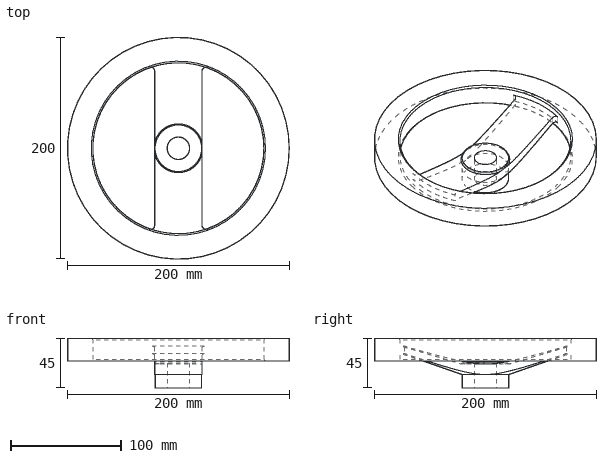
import cadquery as cq
import math

total_height = 45.0

rim_radius = 100.0
rim_height = 20.5
rim_bore_radius = 77.0
rim_chamfer = 1.5
rim_bottom = total_height - rim_height

hub_radius = 21.0
hub_top = 24.0
hub_base_fillet = 1.0
bore_radius = 10.0

spoke_width = 43.0
spoke_corner_radius = 3.0
web_bottom_at_hub = 12.2
web_bottom_angle = math.radians(19.0)
web_top_at_hub = 21.6
web_top_angle = math.radians(16.4)


def web_bottom(radius):
    """Height of the web's lower conical face."""
    return web_bottom_at_hub + (radius - hub_radius) * math.tan(web_bottom_angle)


def web_top(radius):
    """Height of the web's upper conical face."""
    return web_top_at_hub + (radius - hub_radius) * math.tan(web_top_angle)


def make_rim():
    """Flat ring, chamfered around both ends of its bore."""
    disc = cq.Workplane("XY", origin=(0, 0, rim_bottom)).circle(rim_radius).extrude(rim_height)
    chamfer_radius = rim_bore_radius + rim_chamfer
    lower_chamfer_end = rim_bottom + rim_chamfer
    upper_chamfer_start = total_height - rim_chamfer
    opening = (
        cq.Workplane("XZ")
        .moveTo(0, rim_bottom)
        .lineTo(chamfer_radius, rim_bottom)
        .lineTo(rim_bore_radius, lower_chamfer_end)
        .lineTo(rim_bore_radius, upper_chamfer_start)
        .lineTo(chamfer_radius, total_height)
        .lineTo(0, total_height)
        .close()
        .revolve(360, (0, 0, 0), (0, 1, 0))
    )
    return disc.cut(opening)


def make_hub_and_web():
    """Revolved hub with its dished web, rounded where the hub rises from the web."""
    fillet_outer = hub_radius + hub_base_fillet
    fillet_foot = web_top(fillet_outer)
    fillet_head = fillet_foot + hub_base_fillet
    diagonal = hub_base_fillet * math.sqrt(0.5)
    fillet_middle = (fillet_outer - diagonal, fillet_head - diagonal)
    profile = (
        cq.Workplane("XZ")
        .moveTo(0, 0)
        .lineTo(hub_radius, 0)
        .lineTo(hub_radius, web_bottom_at_hub)
        .lineTo(rim_bore_radius, web_bottom(rim_bore_radius))
        .lineTo(rim_bore_radius, web_top(rim_bore_radius))
        .lineTo(fillet_outer, fillet_foot)
        .threePointArc(fillet_middle, (hub_radius, fillet_head))
        .lineTo(hub_radius, hub_top)
        .lineTo(0, hub_top)
        .close()
    )
    return profile.revolve(360, (0, 0, 0), (0, 1, 0))


def make_window(side):
    """Opening between the spoke bar and the rim on one side (+1 or -1 along X)."""
    edge_x = side * spoke_width / 2
    corner_y = math.sqrt(rim_bore_radius**2 - edge_x**2)
    return (
        cq.Workplane("XY")
        .moveTo(edge_x, -corner_y)
        .threePointArc((side * rim_bore_radius, 0), (edge_x, corner_y))
        .close()
        .extrude(total_height)
        .edges("|Z")
        .fillet(spoke_corner_radius)
    )


def make_shaft_bore():
    """Plain hole through the hub."""
    return cq.Workplane("XY").circle(bore_radius).extrude(total_height)


hub_and_spokes = make_hub_and_web()
for window_side in (-1, 1):
    hub_and_spokes = hub_and_spokes.cut(make_window(window_side))

result = make_rim().union(hub_and_spokes).cut(make_shaft_bore())